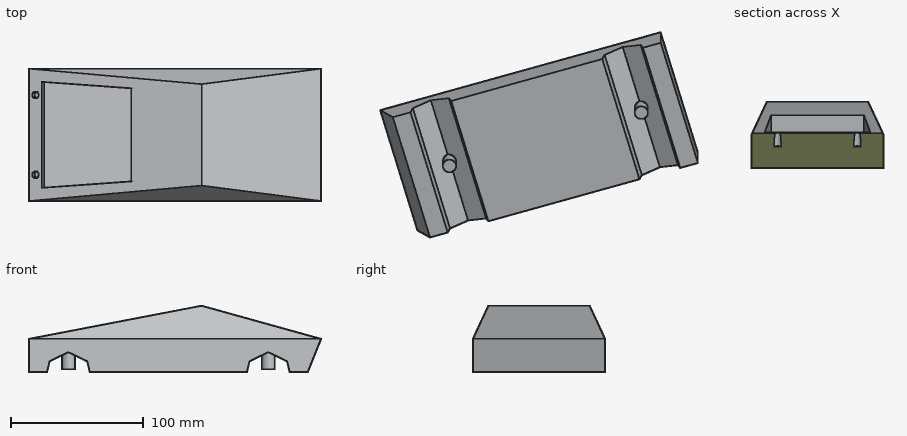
import cadquery as cq
import math

LENGTH = 220.0
WIDTH = 99.6
HEIGHT = 50.0
SHOULDER_HEIGHT = 25.0
RIDGE_X = 130.0
TAIL_BOTTOM_X = 210.0
SIDE_DRAFT = 25.0

HOOD_SLOPE = math.atan((HEIGHT - SHOULDER_HEIGHT) / RIDGE_X)

POCKET_FRONT_X = 9.8
POCKET_BACK_X = 77.2
POCKET_FRONT_WIDTH = 79.6
POCKET_BACK_WIDTH = 69.8
POCKET_FLOOR_Z = 17.8

ARCH_CENTRES_X = (29.8, 180.2)
ARCH_FOOT_HALF_WIDTH = 16.0
ARCH_KNEE_HALF_WIDTH = 14.1
ARCH_KNEE_Z = 8.0
ARCH_APEX_Z = 15.0
PIN_DIAMETER = 10.0
PIN_BOTTOM_Z = 2.0

NOSE_HOLE_DIAMETER = 5.0
NOSE_HOLE_X = 5.0
NOSE_HOLE_SPACING = 60.0
NOSE_HOLE_DEPTH = 10.0


def hood_z(x):
    """Height of the hood surface at a given X."""
    return SHOULDER_HEIGHT + x * math.tan(HOOD_SLOPE)


def hood_plane(x):
    """Plane lying on the hood at a given X: local x runs up the hood, normal points outward."""
    slope_direction = (math.cos(HOOD_SLOPE), 0, math.sin(HOOD_SLOPE))
    normal = (-math.sin(HOOD_SLOPE), 0, math.cos(HOOD_SLOPE))
    return cq.Plane(origin=(x, 0, hood_z(x)), xDir=slope_direction, normal=normal)


def make_body():
    """Side profile limited by a cross-section whose sides lean in above the shoulder."""
    side_profile = [
        (0, 0),
        (TAIL_BOTTOM_X, 0),
        (LENGTH, SHOULDER_HEIGHT),
        (RIDGE_X, HEIGHT),
        (0, SHOULDER_HEIGHT),
    ]
    half_width = WIDTH / 2
    lean = (HEIGHT - SHOULDER_HEIGHT) * math.tan(math.radians(SIDE_DRAFT))
    cross_section = [
        (-half_width, 0),
        (half_width, 0),
        (half_width, SHOULDER_HEIGHT),
        (half_width - lean, HEIGHT),
        (lean - half_width, HEIGHT),
        (-half_width, SHOULDER_HEIGHT),
    ]
    wedge = cq.Workplane("XZ").polyline(side_profile).close().extrude(half_width, both=True)
    envelope = cq.Workplane("YZ").polyline(cross_section).close().extrude(LENGTH)
    return wedge.intersect(envelope)


def make_pocket():
    """Tapered pocket driven square into the hood and stopped at a level floor."""
    length = (POCKET_BACK_X - POCKET_FRONT_X) / math.cos(HOOD_SLOPE)
    outline = [
        (0, -POCKET_FRONT_WIDTH / 2),
        (length, -POCKET_BACK_WIDTH / 2),
        (length, POCKET_BACK_WIDTH / 2),
        (0, POCKET_FRONT_WIDTH / 2),
    ]
    prism = cq.Workplane(hood_plane(POCKET_FRONT_X)).polyline(outline).close().extrude(-HEIGHT)
    above_floor = (
        cq.Workplane("XY", origin=(0, 0, POCKET_FLOOR_Z))
        .rect(2 * LENGTH, 2 * WIDTH)
        .extrude(HEIGHT)
    )
    return prism.intersect(above_floor)


def make_arch(centre_x):
    """Pointed wheel arch running through the full width."""
    outline = [
        (centre_x - ARCH_FOOT_HALF_WIDTH, 0),
        (centre_x - ARCH_KNEE_HALF_WIDTH, ARCH_KNEE_Z),
        (centre_x, ARCH_APEX_Z),
        (centre_x + ARCH_KNEE_HALF_WIDTH, ARCH_KNEE_Z),
        (centre_x + ARCH_FOOT_HALF_WIDTH, 0),
    ]
    return cq.Workplane("XZ").polyline(outline).close().extrude(WIDTH, both=True)


def make_pin(centre_x):
    """Stub pin hanging from the arch roof on the centreline."""
    return (
        cq.Workplane("XY", origin=(centre_x, 0, PIN_BOTTOM_Z))
        .circle(PIN_DIAMETER / 2)
        .extrude(ARCH_APEX_Z - PIN_BOTTOM_Z)
    )


def make_nose_holes():
    """Pair of blind holes in the strip of hood ahead of the pocket."""
    half_spacing = NOSE_HOLE_SPACING / 2
    return (
        cq.Workplane(hood_plane(NOSE_HOLE_X))
        .pushPoints([(0, -half_spacing), (0, half_spacing)])
        .circle(NOSE_HOLE_DIAMETER / 2)
        .extrude(-NOSE_HOLE_DEPTH)
    )


result = make_body().cut(make_pocket()).cut(make_nose_holes())
for arch_x in ARCH_CENTRES_X:
    result = result.cut(make_arch(arch_x)).union(make_pin(arch_x))